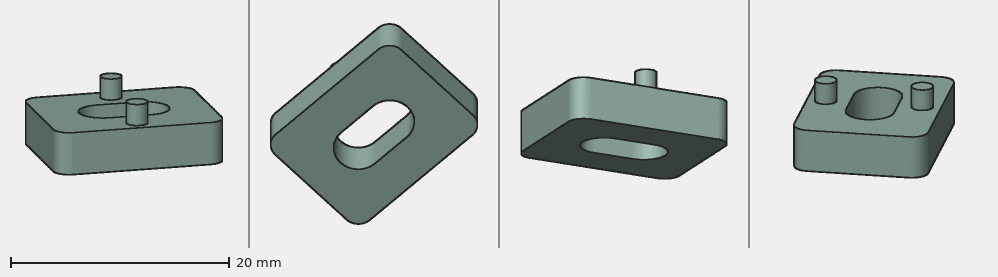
import cadquery as cq

plate_width = 12.5
plate_length = 16.0
plate_thickness = 4.0
corner_radius = 1.5

slot_width = 4.5
slot_length = 8.5

pin_diameter = plate_thickness / 2
pin_height = plate_thickness / 2
pin_spacing = 9.0


def make_plate():
    """Plate with rounded vertical corners, resting on Z = 0."""
    plate = cq.Workplane("XY").box(
        plate_width, plate_length, plate_thickness, centered=(True, True, False)
    )
    return plate.edges("|Z").fillet(corner_radius)


def cut_slot(body):
    """Cut the round-ended slot through the full thickness."""
    return body.faces(">Z").workplane().slot2D(slot_length, slot_width, angle=90).cutThruAll()


def make_pins():
    """Pair of pins standing on the plate, one on each side of the slot."""
    pin_centers = [(side * pin_spacing / 2, 0) for side in (-1, 1)]
    return (
        cq.Workplane("XY", origin=(0, 0, plate_thickness))
        .pushPoints(pin_centers)
        .circle(pin_diameter / 2)
        .extrude(pin_height)
    )


result = cut_slot(make_plate()).union(make_pins())